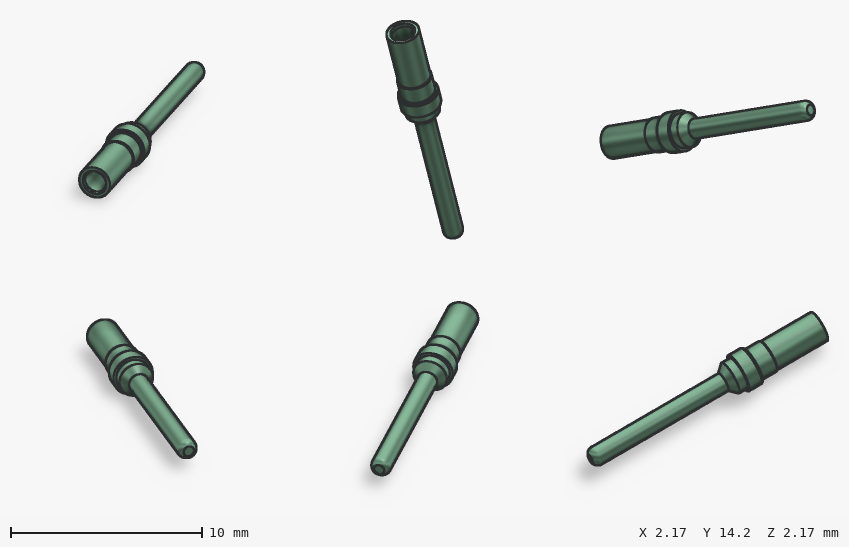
import cadquery as cq
import math

total_length = 14.2

barrel_diameter = 1.75
sleeve_diameter = 1.85
collar_diameter = 2.17
pin_diameter = 1.06

barrel_length = 3.15
sleeve_length = 1.01
collar_length = 0.85
neck_length = 0.51
taper_length = 0.43

sleeve_chamfer = 0.04
collar_chamfer_length = 0.09
collar_chamfer_depth = 0.04
nose_length = 0.4
nose_flat_diameter = 0.57
nose_radius = 0.4

bore_diameter = 1.18
bore_mouth_diameter = 1.32
bore_mouth_depth = 0.14
bore_depth = barrel_length
drill_point_angle = 118.0

barrel_radius = barrel_diameter / 2
sleeve_radius = sleeve_diameter / 2
collar_radius = collar_diameter / 2
pin_radius = pin_diameter / 2
nose_flat_radius = nose_flat_diameter / 2

crimp_end = -total_length / 2
tip = total_length / 2
sleeve_start = crimp_end + barrel_length
collar_start = sleeve_start + sleeve_length
neck_start = collar_start + collar_length
taper_start = neck_start + neck_length
pin_start = taper_start + taper_length
nose_start = tip - nose_length


def make_body():
    """Solid outer shape: barrel, sleeve, collar, neck, taper and round-nosed pin."""
    return (
        cq.Workplane("XY")
        .moveTo(0, crimp_end)
        .lineTo(barrel_radius, crimp_end)
        .lineTo(barrel_radius, sleeve_start)
        .lineTo(sleeve_radius, sleeve_start + sleeve_chamfer)
        .lineTo(sleeve_radius, collar_start)
        .lineTo(collar_radius - collar_chamfer_depth, collar_start)
        .lineTo(collar_radius, collar_start + collar_chamfer_length)
        .lineTo(collar_radius, neck_start)
        .lineTo(sleeve_radius, neck_start)
        .lineTo(sleeve_radius, taper_start)
        .lineTo(pin_radius, pin_start)
        .lineTo(pin_radius, nose_start)
        .radiusArc((nose_flat_radius, tip), -nose_radius)
        .lineTo(0, tip)
        .close()
        .revolve(360, (0, 0, 0), (0, 1, 0))
    )


def make_bore():
    """Blind wire bore with a chamfered mouth and a conical drill point."""
    bore_radius = bore_diameter / 2
    mouth_radius = bore_mouth_diameter / 2
    bore_end = crimp_end + bore_depth
    point_length = bore_radius / math.tan(math.radians(drill_point_angle / 2))
    return (
        cq.Workplane("XY")
        .moveTo(0, crimp_end)
        .lineTo(mouth_radius, crimp_end)
        .lineTo(bore_radius, crimp_end + bore_mouth_depth)
        .lineTo(bore_radius, bore_end)
        .lineTo(0, bore_end + point_length)
        .close()
        .revolve(360, (0, 0, 0), (0, 1, 0))
    )


result = make_body().cut(make_bore())